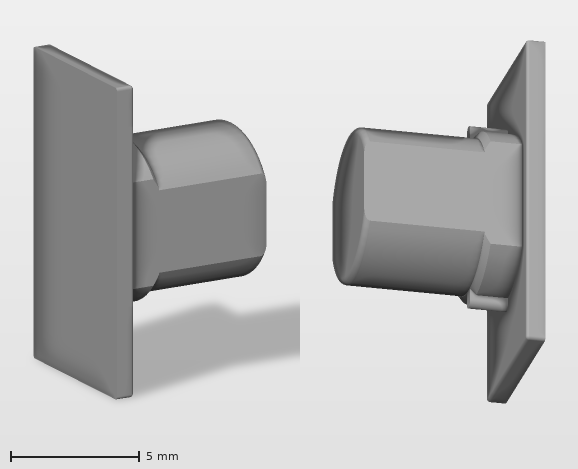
import cadquery as cq

plate_width = 6.6
plate_height = 12.7
plate_thickness = 0.76
plate_round = 0.13

total_depth = 7.11
plug_radius = 3.1
plug_tip_round = 0.25
width_across_flats = 5.21

collar_radius = 3.39
collar_end = 2.29
collar_chamfer = 0.25

rib_width = 0.51
rib_tip_height = 3.85


def cylinder_from_plate(radius, end):
    """Cylinder along +Y, from the back of the plate to Y = end."""
    base = cq.Workplane("XZ", origin=(0, plate_thickness, 0))
    return base.circle(radius).extrude(plate_thickness - end)


def make_plate():
    plate = cq.Workplane("XY").box(plate_width, plate_thickness, plate_height, centered=(True, False, True))
    plate = plate.edges("|Y").fillet(plate_round)
    return plate.faces(">Y").edges().fillet(plate_round)


def make_plug():
    plug = cylinder_from_plate(plug_radius, total_depth).faces(">Y").edges().fillet(plug_tip_round)
    collar = cylinder_from_plate(collar_radius, collar_end).faces(">Y").edges().chamfer(collar_chamfer)
    flats = cq.Workplane("XY").box(
        width_across_flats, total_depth, 2 * collar_radius, centered=(True, False, True)
    )
    return plug.union(collar).intersect(flats)


def make_ribs():
    """One bar through the axis whose two rounded ends form both ribs."""
    base = cq.Workplane("XZ", origin=(0, plate_thickness, 0))
    return base.slot2D(2 * rib_tip_height, rib_width, 90).extrude(plate_thickness - collar_end)


result = make_plate().union(make_plug()).union(make_ribs())